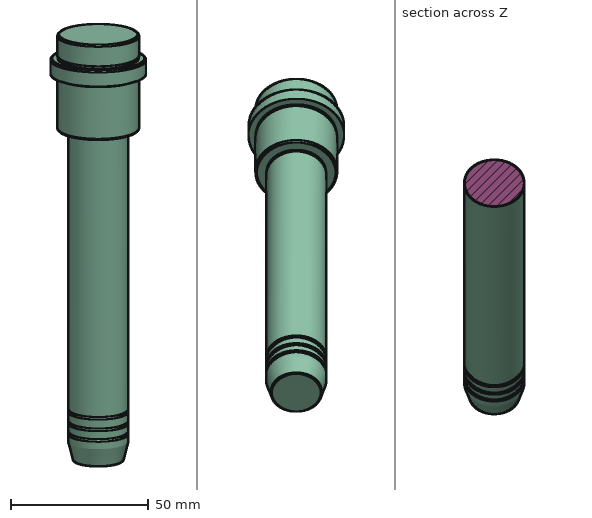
import cadquery as cq

total_length = 161.0
head_length = 36.0
flange_thickness = 6.0
flange_top_setback = 9.0
tip_length = 7.1

flange_diameter = 35.0
head_diameter = 30.0
shank_diameter = 22.0
tip_diameter = 18.5

edge_chamfer = 0.6
tip_chamfer = 0.3

groove_width = 1.0
groove_depth = 0.2
round_groove_depth = 0.5
shank_groove_heights = (10.5, 14.5, 18.8)

head_bottom = total_length - head_length
flange_top = total_length - flange_top_setback
flange_bottom = flange_top - flange_thickness


def cylinder(diameter, bottom, top):
    """Solid cylinder on the Z axis between two heights."""
    return cq.Workplane("XY").workplane(offset=bottom).circle(diameter / 2).extrude(top - bottom)


def groove(diameter, bottom):
    """Ring that cuts a shallow groove into a cylinder of the given diameter."""
    top = bottom + groove_width
    floor_diameter = diameter - 2 * groove_depth
    return cylinder(diameter, bottom, top).cut(cylinder(floor_diameter, bottom, top))


def round_groove(diameter, height):
    """Ring with a circular-arc inner profile, centred at a height on the shank."""
    radius = diameter / 2
    half_width = groove_width / 2
    return (
        cq.Workplane("XZ")
        .moveTo(radius, height - half_width)
        .threePointArc((radius - round_groove_depth, height), (radius, height + half_width))
        .close()
        .revolve(360, (0, 0, 0), (0, 1, 0))
    )


def make_shank():
    """Long shank with a conical tip, round guide grooves and a relief under the head."""
    tip = (
        cq.Workplane("XY")
        .circle(tip_diameter / 2)
        .workplane(offset=tip_length)
        .circle(shank_diameter / 2)
        .loft(ruled=True)
        .faces("<Z")
        .chamfer(tip_chamfer)
    )
    shank = tip.union(cylinder(shank_diameter, tip_length, head_bottom))
    for height in shank_groove_heights:
        shank = shank.cut(round_groove(shank_diameter, height))
    return shank.cut(groove(shank_diameter, head_bottom - groove_width))


def make_head():
    """Chamfered head with a relief groove on each side of the flange."""
    head = cylinder(head_diameter, head_bottom, total_length).faces("<Z or >Z").chamfer(edge_chamfer)
    for bottom in (flange_top, flange_bottom - groove_width):
        head = head.cut(groove(head_diameter, bottom))
    return head


def make_flange():
    """Collar with its upper rim chamfered."""
    return cylinder(flange_diameter, flange_bottom, flange_top).faces(">Z").chamfer(edge_chamfer)


result = make_shank().union(make_head()).union(make_flange())